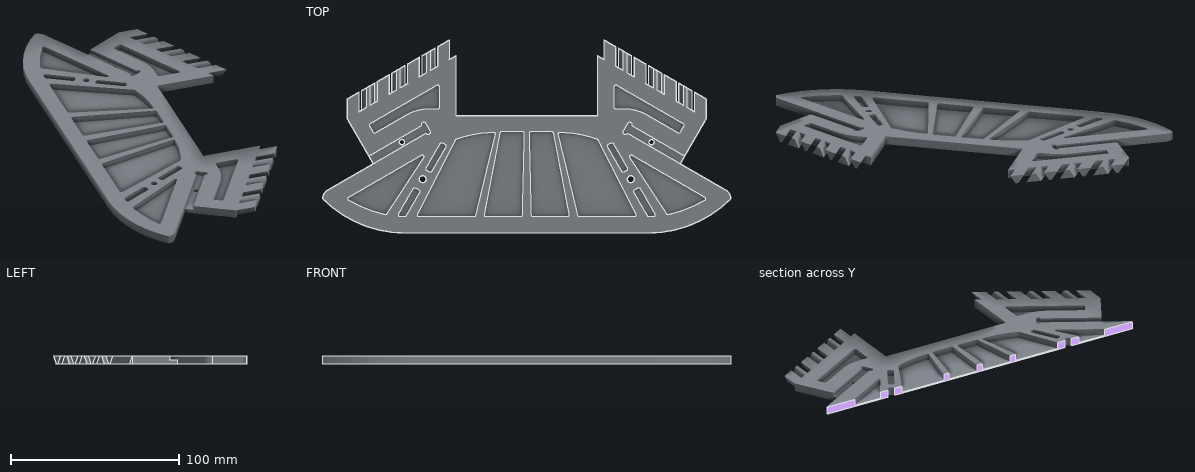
import cadquery as cq
import math

THICKNESS = 5.0
OVERALL_HALF_WIDTH = 242.59 / 2
WING_ANGLE = math.radians(30)
SLANT = math.tan(WING_ANGLE)
RIM = 9.8

FRONT_STRAIGHT_HALF = 72.0
FRONT_RADIUS = 69.5
FIN_ROUNDING_X = 118.2

CUTOUT_HALF_WIDTH = 42.0
CUTOUT_FLOOR_Y = 69.9

FIN_EDGE_Y = 93.9
CHANNEL_REAR_Y = 99.9
FINGER_ROOT_Y = 129.7
FINGER_TIP_Y = 141.32
WING_OUTER_X = 106.7

FINGER_PITCH = 17.9
WIDE_FINGER_COUNT = 4
WIDE_FINGER_TOP = 7.2
NARROW_FINGER_TOP = 2.2
FLANK_LEAN = math.radians(30)
FLANK_RUN = THICKNESS * math.tan(FLANK_LEAN)

POCKET_DEPTH = 4.0
POCKET_FILLET = 1.0
INNER_POCKET_REAR_X = (1.5, 15.7)
INNER_POCKET_FRONT_X = (2.7, 25.4)
INNER_POCKET_REAR_Y = 60.3
MIDDLE_POCKET_REAR_INNER = (18.4, 59.9)
MIDDLE_POCKET_REAR_BOW = (31.2, 58.8)
MIDDLE_POCKET_REAR_OUTER = (42.1, 55.8)
MIDDLE_POCKET_FRONT_X = (30.5, 65.6)
FIN_POCKET_REAR_Y = 82.4
FIN_POCKET_APEX_X = 58.9
FIN_POCKET_FRONT_X = (83.5, 107.2)
ARM_POCKET_INNER_X = 51.9
ARM_POCKET_OUTER_X = 93.8
ARM_POCKET_REAR_Y = 118.7
ARM_POCKET_FRONT_Y = 111.5
ARM_POCKET_LEVEL_Y = 73.8
ARM_POCKET_BEND_X = (58.9, 71.2)
CHANNEL_DEPTH = 2.5
CHANNEL_END_X = 57.4
CHANNEL_RELIEF_RADIUS = 1.4
SLOT_DIRECTION = -60
SLOT_FILLET = 1.2
REAR_SLOT_CENTRE = (53.9, 45.0)
REAR_SLOT_LENGTH = 18.8
REAR_SLOT_WIDTH = 4.0
FRONT_SLOT_REAR_END = (65.0, 26.3)
FRONT_SLOT_WIDTH = 4.5
PIVOT_HOLE = (61.8, 32.1)
PIVOT_HOLE_DIAMETER = 4.0
CHANNEL_HOLE = (74.1, 54.1)
CHANNEL_HOLE_DIAMETER = 3.0


def slanted(x, y_at_middle):
    """Point at x on a line that falls outward at the wing angle."""
    return (x, y_at_middle - SLANT * x)


def outward_foot(point, y_at_middle):
    """Foot of the perpendicular from a point to a slanted wing line."""
    x, y = point
    foot_x = (x + SLANT * (y_at_middle - y)) / (1 + SLANT**2)
    return slanted(foot_x, y_at_middle)


def front_arc(x, radius):
    """Point at x on the arc of this radius about the centre of the front corner arc."""
    return (x, FRONT_RADIUS - math.sqrt(radius**2 - (x - FRONT_STRAIGHT_HALF) ** 2))


def half_plate():
    """Right half of the plate without its fingers."""
    wing_corner = slanted(WING_OUTER_X, FINGER_ROOT_Y)
    fin_tip = front_arc(OVERALL_HALF_WIDTH, FRONT_RADIUS)
    arc_middle = front_arc((FRONT_STRAIGHT_HALF + OVERALL_HALF_WIDTH) / 2, FRONT_RADIUS)
    return (
        cq.Workplane("XY")
        .moveTo(0, 0)
        .lineTo(0, CUTOUT_FLOOR_Y)
        .lineTo(CUTOUT_HALF_WIDTH, CUTOUT_FLOOR_Y)
        .lineTo(*slanted(CUTOUT_HALF_WIDTH, FINGER_ROOT_Y))
        .lineTo(*wing_corner)
        .lineTo(*outward_foot(wing_corner, FIN_EDGE_Y))
        .lineTo(*slanted(FIN_ROUNDING_X, FIN_EDGE_Y))
        .tangentArcPoint(fin_tip, relative=False)
        .threePointArc(arc_middle, (FRONT_STRAIGHT_HALF, 0))
        .close()
        .extrude(THICKNESS)
    )


def finger(centre_x, bottom_width, top_width):
    """Finger whose flanks lean, cut to the slanted band between the root and tip lines."""
    half_bottom = bottom_width / 2
    half_top = top_width / 2
    prism = (
        cq.Workplane("XZ")
        .polyline(
            [
                (centre_x - half_bottom, 0),
                (centre_x + half_bottom, 0),
                (centre_x + half_top, THICKNESS),
                (centre_x - half_top, THICKNESS),
            ]
        )
        .close()
        .extrude(-FINGER_TIP_Y)
    )
    band = (
        cq.Workplane("XY")
        .polyline(
            [
                slanted(0, FINGER_ROOT_Y),
                slanted(OVERALL_HALF_WIDTH, FINGER_ROOT_Y),
                slanted(OVERALL_HALF_WIDTH, FINGER_TIP_Y),
                slanted(0, FINGER_TIP_Y),
            ]
        )
        .close()
        .extrude(THICKNESS)
    )
    return prism.intersect(band)


def add_fingers(body):
    """Alternate wide and narrow fingers inward from the outer side of the wing."""
    outermost = WING_OUTER_X - WIDE_FINGER_TOP / 2
    for index in range(WIDE_FINGER_COUNT):
        centre_x = outermost - index * FINGER_PITCH
        body = body.union(finger(centre_x, WIDE_FINGER_TOP - 2 * FLANK_RUN, WIDE_FINGER_TOP))
        if index > 0:
            narrow_x = centre_x + FINGER_PITCH / 2
            narrow_bottom = NARROW_FINGER_TOP + 2 * FLANK_RUN
            body = body.union(finger(narrow_x, narrow_bottom, NARROW_FINGER_TOP))
    return body


def pocket(outline, fillet=POCKET_FILLET):
    """Tool with rounded corners that sinks a closed outline into the top face."""
    tool = outline.extrude(-POCKET_DEPTH)
    return tool.edges("|Z").fillet(fillet)


def top_plane():
    return cq.Workplane("XY", origin=(0, 0, THICKNESS))


def inner_pocket():
    return pocket(
        top_plane()
        .polyline(
            [
                (INNER_POCKET_REAR_X[0], INNER_POCKET_REAR_Y),
                (INNER_POCKET_REAR_X[1], INNER_POCKET_REAR_Y),
                (INNER_POCKET_FRONT_X[1], RIM),
                (INNER_POCKET_FRONT_X[0], RIM),
            ]
        )
        .close()
    )


def middle_pocket():
    """Pocket between the front rim and a bowed rear wall."""
    return pocket(
        top_plane()
        .moveTo(*MIDDLE_POCKET_REAR_INNER)
        .threePointArc(MIDDLE_POCKET_REAR_BOW, MIDDLE_POCKET_REAR_OUTER)
        .lineTo(MIDDLE_POCKET_FRONT_X[1], RIM)
        .lineTo(MIDDLE_POCKET_FRONT_X[0], RIM)
        .close()
    )


def fin_pocket():
    """Three-sided pocket whose front wall is concentric with the outer front arc."""
    radius = FRONT_RADIUS - RIM
    front_inner_x, front_outer_x = FIN_POCKET_FRONT_X
    front_middle_x = (front_inner_x + front_outer_x) / 2
    return pocket(
        top_plane()
        .moveTo(*slanted(FIN_POCKET_APEX_X, FIN_POCKET_REAR_Y))
        .lineTo(*slanted(front_outer_x, FIN_POCKET_REAR_Y))
        .threePointArc(front_arc(front_middle_x, radius), front_arc(front_inner_x, radius))
        .close()
    )


def arm_pocket():
    """Pocket along the wing whose front wall bends level towards the middle."""
    outer_rear = slanted(ARM_POCKET_OUTER_X, ARM_POCKET_REAR_Y)
    return pocket(
        top_plane()
        .moveTo(ARM_POCKET_INNER_X, ARM_POCKET_LEVEL_Y)
        .lineTo(*slanted(ARM_POCKET_INNER_X, ARM_POCKET_REAR_Y))
        .lineTo(*outer_rear)
        .lineTo(*outward_foot(outer_rear, ARM_POCKET_FRONT_Y))
        .lineTo(*slanted(ARM_POCKET_BEND_X[1], ARM_POCKET_FRONT_Y))
        .tangentArcPoint((ARM_POCKET_BEND_X[0], ARM_POCKET_LEVEL_Y), relative=False)
        .close()
    )


def rear_slot():
    """Rounded slot square to the wing's slanted lines."""
    slot = top_plane().center(*REAR_SLOT_CENTRE).transformed(rotate=(0, 0, SLOT_DIRECTION))
    return pocket(slot.rect(REAR_SLOT_LENGTH, REAR_SLOT_WIDTH), fillet=SLOT_FILLET)


def front_slot():
    """Slot with a square rear end whose front end is cut off level at the front rim."""
    end_x, end_y = FRONT_SLOT_REAR_END
    across_x = FRONT_SLOT_WIDTH / 2 * math.cos(WING_ANGLE)
    across_y = FRONT_SLOT_WIDTH / 2 * math.sin(WING_ANGLE)
    inner = (end_x - across_x, end_y - across_y)
    outer = (end_x + across_x, end_y + across_y)
    return pocket(
        top_plane()
        .polyline(
            [
                inner,
                outer,
                (outer[0] + SLANT * (outer[1] - RIM), RIM),
                (inner[0] + SLANT * (inner[1] - RIM), RIM),
            ]
        )
        .close(),
        fillet=SLOT_FILLET,
    )


def channel():
    """Shallow groove along the fin edge, open at the outer end, relieved at the inner corners."""
    inner_front = slanted(CHANNEL_END_X, FIN_EDGE_Y)
    inner_rear = outward_foot(inner_front, CHANNEL_REAR_Y)
    relief_inset = CHANNEL_RELIEF_RADIUS * math.cos(WING_ANGLE)
    reliefs = (
        top_plane()
        .pushPoints(
            [
                slanted(inner_front[0] + relief_inset, FIN_EDGE_Y),
                slanted(inner_rear[0] + relief_inset, CHANNEL_REAR_Y),
            ]
        )
        .circle(CHANNEL_RELIEF_RADIUS)
        .extrude(-CHANNEL_DEPTH)
    )
    groove = (
        top_plane()
        .polyline(
            [
                inner_front,
                inner_rear,
                slanted(OVERALL_HALF_WIDTH, CHANNEL_REAR_Y),
                slanted(OVERALL_HALF_WIDTH, FIN_EDGE_Y),
            ]
        )
        .close()
        .extrude(-CHANNEL_DEPTH)
    )
    return groove.union(reliefs)


def hole(centre, diameter):
    return cq.Workplane("XY").center(*centre).circle(diameter / 2).extrude(THICKNESS)


def half_part():
    body = half_plate()
    body = add_fingers(body)
    tools = [
        inner_pocket(),
        middle_pocket(),
        fin_pocket(),
        arm_pocket(),
        rear_slot(),
        front_slot(),
        channel(),
        hole(PIVOT_HOLE, PIVOT_HOLE_DIAMETER),
        hole(CHANNEL_HOLE, CHANNEL_HOLE_DIAMETER),
    ]
    for tool in tools:
        body = body.cut(tool)
    return body


right_half = half_part()
result = right_half.union(right_half.mirror("YZ"))